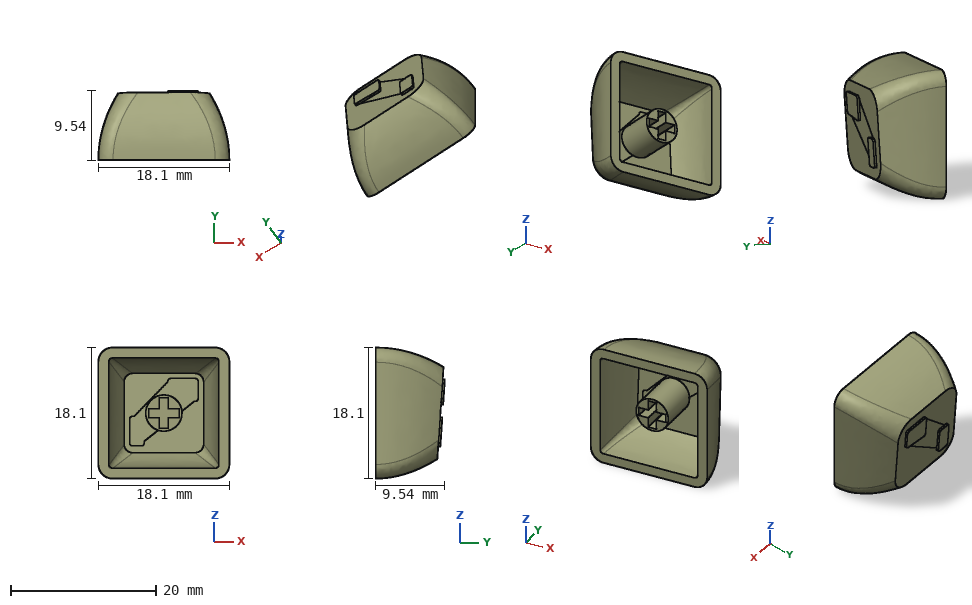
import cadquery as cq
import math

BASE_WIDTH = 18.1
BASE_CORNER_RADIUS = 2.0
TOP_WIDTH = 12.7
TOP_CORNER_RADIUS = 2.7
TOP_HEIGHT = 8.93
TOP_TILT = 3.85

PLATE_THICKNESS = 1.65
OPENING_WIDTH = 15.18
OPENING_CORNER_RADIUS = 0.5
CEILING_WIDTH = 10.94
CEILING_CORNER_RADIUS = 1.15
CEILING_HEIGHT = TOP_HEIGHT - PLATE_THICKNESS / math.cos(math.radians(TOP_TILT))

STEM_DIAMETER = 5.0
STEM_RECESS = 1.0
CROSS_LENGTH = 4.18
CROSS_ARM_WIDTH = 1.25
CROSS_DEPTH = 4.0

LEGEND_RAISE = 0.3
PAD_CORNER_RADIUS = 0.4
PAD_REACH = 4.72

UPPER_PAD_INNER_X = 0.55
UPPER_PAD_TOP = 4.78
UPPER_PAD_OUTER_BOTTOM = 1.66
UPPER_PAD_INNER_BOTTOM = 1.2

LOWER_PAD_INNER_X = -2.7
LOWER_PAD_TOP = -0.45
LOWER_PAD_BOTTOM = -4.53

UPPER_PAD = [
    (UPPER_PAD_INNER_X, UPPER_PAD_TOP),
    (PAD_REACH, UPPER_PAD_TOP),
    (PAD_REACH, UPPER_PAD_OUTER_BOTTOM),
    (UPPER_PAD_INNER_X, UPPER_PAD_INNER_BOTTOM),
]
LOWER_PAD = [
    (-PAD_REACH, LOWER_PAD_TOP),
    (LOWER_PAD_INNER_X, LOWER_PAD_TOP),
    (LOWER_PAD_INNER_X, LOWER_PAD_BOTTOM),
    (-PAD_REACH, LOWER_PAD_BOTTOM),
]
BAR = [
    (-4.1, LOWER_PAD_TOP),
    (UPPER_PAD_INNER_X, 4.33),
    (4.3, 1.7),
    (LOWER_PAD_INNER_X, -3.9),
]

SECTION_RISES = (0, 0.5, 1)


def tilted_plane(height, tilt):
    """Plane facing +Y at the given height, leaning back by tilt degrees; its local x runs along -X."""
    lean = math.radians(tilt)
    return cq.Plane(
        origin=(0, height, 0),
        xDir=(-1, 0, 0),
        normal=(0, math.cos(lean), -math.sin(lean)),
    )


def bulged_block(height, bottom_width, top_width, bottom_radius, top_radius):
    """Rounded block whose sides leave the base upright and bend inward as a parabola."""
    sections = []
    for rise in SECTION_RISES:
        bend = rise**2
        width = bottom_width + (top_width - bottom_width) * bend
        radius = bottom_radius + (top_radius - bottom_radius) * bend
        square = cq.Sketch().rect(width, width).vertices().fillet(radius)
        plane = tilted_plane(height * rise, TOP_TILT * rise)
        sections.append(square.moved(plane.location))
    return cq.Workplane("XY").placeSketch(*sections).loft()


def legend_prism(points, thickness):
    """Prism that rises from the ceiling, square to the top, from an outline of (x, z) points."""
    plane = tilted_plane(CEILING_HEIGHT, TOP_TILT)
    outline = [(-x, z) for x, z in points]
    return cq.Workplane(plane).polyline(outline).close().extrude(thickness)


def legend_pad(points):
    """Raised pad with rounded corners."""
    pad = legend_prism(points, PLATE_THICKNESS + LEGEND_RAISE)
    corner_direction = tilted_plane(CEILING_HEIGHT, TOP_TILT).zDir
    return pad.edges(cq.selectors.ParallelDirSelector(corner_direction)).fillet(PAD_CORNER_RADIUS)


def make_legend():
    """The bar, flush with the top and the ceiling, with a raised pad at each end."""
    bar = legend_prism(BAR, PLATE_THICKNESS)
    return bar.union(legend_pad(UPPER_PAD)).union(legend_pad(LOWER_PAD))


def make_stem():
    """Round post running into the plate, with a cross-shaped socket in its open end."""
    open_end = cq.Workplane("XZ", origin=(0, STEM_RECESS, 0))
    stem_length = CEILING_HEIGHT + PLATE_THICKNESS / 2 - STEM_RECESS
    stem = open_end.circle(STEM_DIAMETER / 2).extrude(-stem_length)
    for width, height in ((CROSS_LENGTH, CROSS_ARM_WIDTH), (CROSS_ARM_WIDTH, CROSS_LENGTH)):
        stem = stem.cut(open_end.rect(width, height).extrude(-CROSS_DEPTH))
    return stem


def make_cap(legend):
    """Hollow cap with its stem and a hole that the legend fills."""
    shell = bulged_block(
        TOP_HEIGHT, BASE_WIDTH, TOP_WIDTH, BASE_CORNER_RADIUS, TOP_CORNER_RADIUS
    )
    hollow = bulged_block(
        CEILING_HEIGHT, OPENING_WIDTH, CEILING_WIDTH, OPENING_CORNER_RADIUS, CEILING_CORNER_RADIUS
    )
    return shell.cut(hollow).union(make_stem()).cut(legend)


legend = make_legend()
cap = make_cap(legend)

result = cq.Compound.makeCompound([*cap.solids().vals(), *legend.solids().vals()])